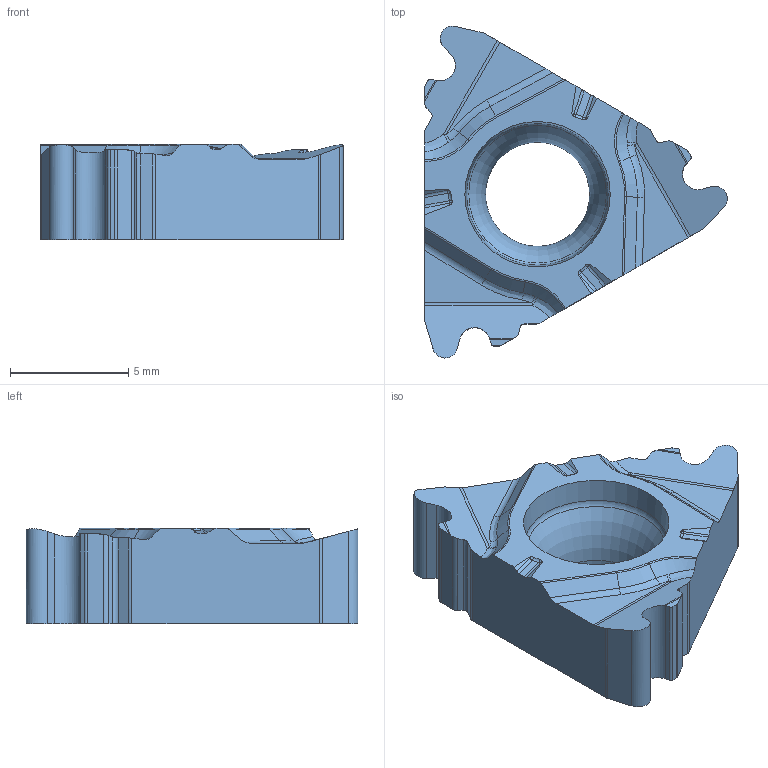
import cadquery as cq
import math

CORNERS = 3
CORNER_STEP = 360 / CORNERS

thickness = 4.02
inscribed_radius = 4.763
far = 12.0

flank_start_y = -5.35
flank_angle = 16.5
flank_start_round = 0.36
tip_radius = 0.53
valley_x = -2.65
valley_top_y = -5.64
valley_radius = 0.66
valley_angle = 15.0
tooth_end_y = -6.41
tooth_toe_round = 0.13
tooth_end_round = 0.2
tooth_heel_round = 0.3
shoulder_y = -5.48
shoulder_x = -0.69
shoulder_inner_round = 0.2
shoulder_outer_round = 0.28

bore_radius = 2.2
seat_curve_radius = 4.0
seat_radius = 2.91
seat_blend_height = 0.26
head_floor_radius = 3.0
head_depth = 0.98
head_top_radius = 3.07

pocket_depth = 0.623
pocket_floor_z = thickness - pocket_depth
bend_y = -4.653
rake_angle = 15.0
bend_radius = 0.47
wall_angle = 45.0
wall_line_angle = 31.7
wall_arc_radius = 4.34
wall_turn_angle = 8.2
wall_end_radius = 1.66
wall_end_angle = 10.0
wall_foot_round = 0.43
wall_rim_round = 0.1

land_z = 3.79
land_round = 0.24

groove_depth = 0.2
groove_floor_width = 0.45
groove_upper_flank_angle = 41.0
groove_lower_flank_angle = 32.0
groove_length = 1.18
groove_y = -0.30
groove_turn = 10.8
groove_rise = 6.5
groove_floor_round = 0.2
groove_end_round = 0.15


def polar(radius, degrees):
    angle = math.radians(degrees)
    return (radius * math.cos(angle), radius * math.sin(angle))


def turned(point, degrees):
    radius = math.hypot(point[0], point[1])
    return polar(radius, degrees + math.degrees(math.atan2(point[1], point[0])))


def crossing(point_a, angle_a, point_b, angle_b):
    """Where two lines meet, each given by a point and a direction in degrees from +X."""
    ax, ay = polar(1, angle_a)
    bx, by = polar(1, angle_b)
    gap_x = point_b[0] - point_a[0]
    gap_y = point_b[1] - point_a[1]
    along = (gap_x * by - gap_y * bx) / (ax * by - ay * bx)
    return (point_a[0] + along * ax, point_a[1] + along * ay)


def rounded_outline(corners):
    """Closed outline through (point, radius) corners, each rounded by a tangent arc."""
    arcs = []
    for i, (point, radius) in enumerate(corners):
        corner = cq.Vector(*point)
        back = (cq.Vector(*corners[i - 1][0]) - corner).normalized()
        ahead = (cq.Vector(*corners[(i + 1) % len(corners)][0]) - corner).normalized()
        half_angle = back.getAngle(ahead) / 2
        reach = radius / math.tan(half_angle)
        middle_distance = radius / math.sin(half_angle) - radius
        middle = corner + (back + ahead).normalized() * middle_distance
        arcs.append((corner + back * reach, middle, corner + ahead * reach))
    outline = cq.Workplane("XY").moveTo(arcs[-1][2].x, arcs[-1][2].y)
    for start, middle, end in arcs:
        outline = outline.lineTo(start.x, start.y)
        outline = outline.threePointArc((middle.x, middle.y), (end.x, end.y))
    return outline.close()


def corner_points():
    flank_start = (-inscribed_radius, flank_start_y)
    side_angle = 30
    side_foot = polar(inscribed_radius, side_angle - 90)
    valley_apex_y = valley_top_y - valley_radius + valley_radius / math.sin(math.radians(valley_angle))
    valley_apex = (valley_x, valley_apex_y)
    shoulder = (shoulder_x, shoulder_y)
    rising = 90 - valley_angle
    falling = 90 + valley_angle
    return [
        (flank_start, flank_start_round),
        (crossing(flank_start, 90 + flank_angle, valley_apex, rising), tip_radius),
        (valley_apex, valley_radius),
        (crossing(valley_apex, falling, (0, tooth_end_y), 0), tooth_toe_round),
        (crossing((0, tooth_end_y), 0, side_foot, side_angle), tooth_end_round),
        (crossing(side_foot, side_angle, shoulder, rising), tooth_heel_round),
        (shoulder, shoulder_inner_round),
        (crossing(shoulder, 0, side_foot, side_angle), shoulder_outer_round),
    ]


def make_body():
    corners = []
    for i in range(CORNERS):
        for point, radius in corner_points():
            corners.append((turned(point, i * CORNER_STEP), radius))
    return rounded_outline(corners).extrude(thickness)


def make_hole():
    """Bore that flares through a convex seat into a slightly tapered head recess."""
    head_floor_z = thickness - head_depth
    seat_z = head_floor_z - seat_blend_height
    seat_angle = math.acos(1 - (seat_radius - bore_radius) / seat_curve_radius)
    bore_top_z = seat_z - seat_curve_radius * math.sin(seat_angle)
    middle = (
        bore_radius + seat_curve_radius * (1 - math.cos(seat_angle / 2)),
        bore_top_z + seat_curve_radius * math.sin(seat_angle / 2),
    )
    profile = (
        cq.Workplane("XZ")
        .lineTo(bore_radius, 0)
        .lineTo(bore_radius, bore_top_z)
        .threePointArc(middle, (seat_radius, seat_z))
        .tangentArcPoint((head_floor_radius, head_floor_z), relative=False)
        .lineTo(head_top_radius, thickness)
        .lineTo(0, thickness)
        .close()
    )
    return profile.revolve(360, (0, 0, 0), (0, 1, 0))


def wall_foot_path():
    """Foot of the pocket wall: a line, an arc round the hole, an arc back out and a line."""
    line_end_angle = -90 - wall_line_angle
    turn_angle = -90 - wall_turn_angle
    line_end = polar(wall_arc_radius, line_end_angle)
    arc_middle = polar(wall_arc_radius, (line_end_angle + turn_angle) / 2)
    turn = polar(wall_arc_radius, turn_angle)
    end_centre = cq.Vector(*polar(wall_arc_radius + wall_end_radius, turn_angle))
    end_middle_angle = (turn_angle + 180 + wall_end_angle) / 2
    end_middle = end_centre + cq.Vector(*polar(wall_end_radius, end_middle_angle))
    end = end_centre + cq.Vector(*polar(wall_end_radius, wall_end_angle))
    start = crossing(line_end, -wall_line_angle, (-far, 0), 90)
    exit_point = crossing((end.x, end.y), wall_end_angle - 90, (0, -far), 0)
    return (
        cq.Workplane("XY", origin=(0, 0, pocket_floor_z))
        .moveTo(*start)
        .lineTo(*line_end)
        .threePointArc(arc_middle, turn)
        .threePointArc((end_middle.x, end_middle.y), (end.x, end.y))
        .lineTo(*exit_point)
    )


def make_pocket_walls():
    """Space on the tip side of the sloping pocket wall, open at the top."""
    slope = math.radians(wall_angle)
    top = 2 * pocket_depth
    rim_reach = wall_rim_round * math.tan(slope / 2)
    rim_run = pocket_depth / math.tan(slope)
    rim_start = (
        rim_run - rim_reach * math.cos(slope),
        pocket_depth - rim_reach * math.sin(slope),
    )
    rim_end = (rim_run + rim_reach, pocket_depth)
    path = wall_foot_path().wire()
    start = path.val().startPoint()
    along = cq.Vector(*polar(1, -wall_line_angle))
    towards_hole = cq.Vector(*polar(1, 90 - wall_line_angle))
    slope_space = (
        cq.Workplane(cq.Plane(origin=start, xDir=towards_hole, normal=along))
        .lineTo(*rim_start)
        .tangentArcPoint(rim_end, relative=False)
        .lineTo(rim_end[0], top)
        .lineTo(0, top)
        .close()
        .sweep(path)
    )
    upright_space = wall_foot_path().lineTo(-far, -far).close().extrude(top)
    return upright_space.union(slope_space)


def make_pocket_floor():
    """Space above the floor: level near the wall, then rising to the tip."""
    reach = bend_radius * math.tan(math.radians(rake_angle / 2))
    rake = math.radians(rake_angle)
    bend_end = (bend_y - reach * math.cos(rake), pocket_floor_z + reach * math.sin(rake))
    run = far + bend_y
    profile = (
        cq.Workplane("YZ", origin=(-2 * far, 0, 0))
        .moveTo(far, pocket_floor_z)
        .lineTo(bend_y + reach, pocket_floor_z)
        .tangentArcPoint(bend_end, relative=False)
        .lineTo(bend_y - run, pocket_floor_z + run * math.tan(rake))
        .lineTo(bend_y - run, 2 * thickness)
        .lineTo(far, 2 * thickness)
        .close()
    )
    return profile.extrude(4 * far)


def make_pocket():
    pocket = make_pocket_walls().intersect(make_pocket_floor())
    near_floor = cq.selectors.BoxSelector(
        (-0.9 * far, -far, pocket_floor_z - pocket_depth / 3),
        (far, far, pocket_floor_z + pocket_depth / 3),
    )
    wall_foot = pocket.edges("(not |X) and (not |Y)").edges(near_floor)
    return wall_foot.fillet(wall_foot_round)


def make_tooth_land():
    """Space above the level land that caps the rake on the tooth."""
    rake = math.radians(rake_angle)
    land_y = bend_y - (land_z - pocket_floor_z) / math.tan(rake)
    reach = land_round * math.tan(rake / 2)
    round_end = (land_y - reach, land_z)
    round_middle = (
        round_end[0] + land_round * math.sin(rake / 2),
        land_z - land_round * (1 - math.cos(rake / 2)),
    )
    round_start = (land_y + reach * math.cos(rake), land_z - reach * math.sin(rake))
    profile = (
        cq.Workplane("YZ", origin=(valley_x, 0, 0))
        .moveTo(*round_start)
        .threePointArc(round_middle, round_end)
        .lineTo(-far, land_z)
        .lineTo(-far, thickness)
        .lineTo(round_start[0], thickness)
        .close()
    )
    return profile.extrude(-valley_x)


def make_side_groove():
    """Flat-bottomed groove that starts at the left side and rises towards the hole."""
    overrun = 1.0
    top = 3 * groove_depth
    half_floor = groove_floor_width / 2
    upper_reach = half_floor + top / math.tan(math.radians(groove_upper_flank_angle))
    lower_reach = half_floor + top / math.tan(math.radians(groove_lower_flank_angle))
    groove = (
        cq.Workplane("YZ", origin=(-overrun, 0, 0))
        .polyline([(-half_floor, 0), (half_floor, 0), (upper_reach, top), (-lower_reach, top)])
        .close()
        .extrude(overrun + groove_length)
    )
    groove = groove.faces("<Z").edges("|X").fillet(groove_floor_round)
    groove = groove.faces(">X").edges("not >Z").fillet(groove_end_round)
    groove = groove.rotate((0, 0, 0), (0, 1, 0), -groove_rise)
    groove = groove.rotate((0, 0, 0), (0, 0, 1), groove_turn)
    return groove.translate((-inscribed_radius, groove_y, thickness - groove_depth))


def cut_round_corners(part, cutter):
    for i in range(CORNERS):
        part = part.cut(cutter.rotate((0, 0, 0), (0, 0, 1), i * CORNER_STEP))
    return part


result = make_body().cut(make_hole())
result = cut_round_corners(result, make_pocket())
result = cut_round_corners(result, make_tooth_land())
result = cut_round_corners(result, make_side_groove())